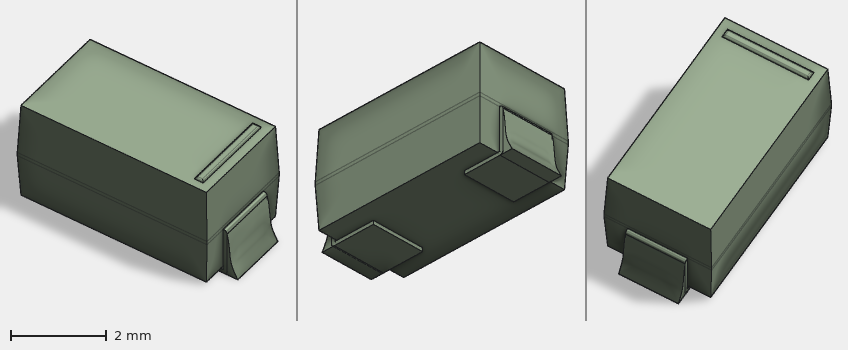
import cadquery as cq

case_length = 4.83
case_width = 2.62
case_draft_inset = 0.055
case_top = 2.615
seam_top = 1.31
seam_bottom = 1.22

lead_thickness = 0.1
lead_width = 1.455
lead_bend_radius = 0.085
left_foot_end = 1.39
right_foot_end = 1.285
lead_inner_x = case_length / 2
lead_outer_x = lead_inner_x + lead_thickness
lead_top = seam_bottom
case_bottom = lead_thickness

solder_tip_x = 2.79
solder_top = lead_top - lead_bend_radius
solder_curve = [(2.555, 0.95), (2.59, 0.595), (2.64, 0.31), (2.73, 0.11)]

bar_width = 0.22
bar_length = 2.105
bar_height = 0.05
bar_rounding = 0.0495
bar_center_x = 2.025


def make_drafted_block(base_z, height):
    """Frustum from the full waist rectangle at base_z; a negative height goes down."""
    end_length = case_length - 2 * case_draft_inset
    end_width = case_width - 2 * case_draft_inset
    return (
        cq.Workplane("XY", origin=(0, 0, base_z))
        .rect(case_length, case_width)
        .workplane(offset=height)
        .rect(end_length, end_width)
        .loft(ruled=True)
    )


def make_case():
    seam = (
        cq.Workplane("XY", origin=(0, 0, seam_bottom))
        .rect(case_length, case_width)
        .extrude(seam_top - seam_bottom)
    )
    upper = make_drafted_block(seam_top, case_top - seam_top)
    lower = make_drafted_block(seam_bottom, case_bottom - seam_bottom)
    return seam.union(upper).union(lower)


def make_polarity_bar():
    """Raised bar whose upper edges are rounded over almost its full height."""
    return (
        cq.Workplane("XY", origin=(bar_center_x, 0, case_top))
        .rect(bar_width, bar_length)
        .extrude(bar_height)
        .faces(">Z")
        .edges()
        .fillet(bar_rounding)
    )


def make_lead(foot_end_x):
    """L-shaped lead on the +X side: foot under the case, upright beside it."""
    return (
        cq.Workplane("XZ")
        .moveTo(foot_end_x, 0)
        .lineTo(lead_outer_x, 0)
        .lineTo(lead_outer_x, lead_top)
        .lineTo(lead_inner_x, lead_top)
        .lineTo(lead_inner_x, lead_thickness)
        .lineTo(foot_end_x, lead_thickness)
        .close()
        .extrude(lead_width)
        .translate((0, lead_width / 2, 0))
        .edges("|Y and >X")
        .fillet(lead_bend_radius)
    )


def make_solder(lead):
    """Flared solder fillet on the +X side, filling in under the lead's lower bend."""
    bend_start_x = lead_outer_x - lead_bend_radius
    wedge = (
        cq.Workplane("XZ")
        .moveTo(lead_outer_x, solder_top)
        .spline(solder_curve + [(solder_tip_x, 0)], includeCurrent=True)
        .lineTo(bend_start_x, 0)
        .lineTo(bend_start_x, lead_bend_radius)
        .lineTo(lead_outer_x, lead_bend_radius)
        .close()
        .extrude(lead_width)
        .translate((0, lead_width / 2, 0))
    )
    return wedge.cut(lead)


case = make_case()
polarity_bar = make_polarity_bar()

leads = []
solder_fillets = []
for foot_end, turn in ((right_foot_end, 0), (left_foot_end, 180)):
    lead = make_lead(foot_end)
    solder = make_solder(lead)
    leads.append(lead.rotate((0, 0, 0), (0, 0, 1), turn).val())
    solder_fillets.append(solder.rotate((0, 0, 0), (0, 0, 1), turn).val())

result = cq.Compound.makeCompound([case.val(), polarity_bar.val(), *leads, *solder_fillets])